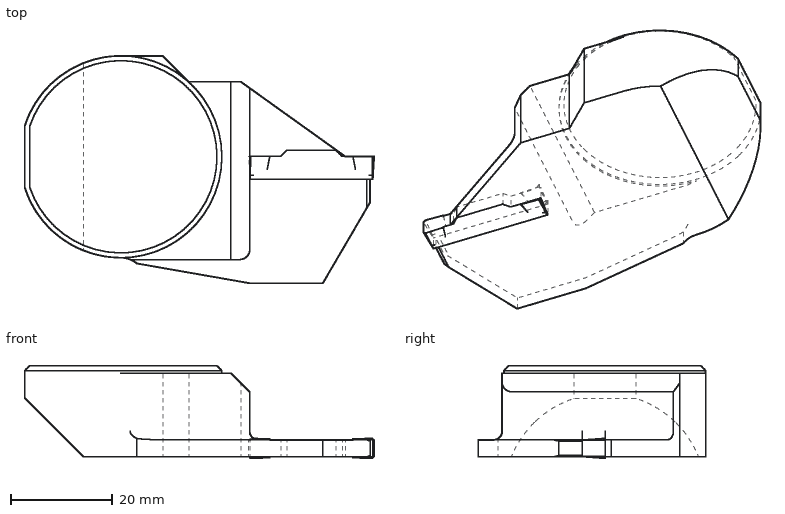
import cadquery as cq
import math

head_radius = 20.0
head_height = 18.05
head_chamfer = 1.0
head_flat_x = -19.0
underside_bevel = 11.6

block_height = 16.6
block_right = 25.5
block_front = -20.3
block_back = 14.85
block_chamfer = 3.7
block_corner_radius = 2.0

blade_thickness = 3.4
blade_fillet = 1.65
blade_front = -25.0
blade_front_left = 25.4
blade_front_right = 39.95
blade_end = 49.3
blade_end_front = -9.05
blade_end_chamfer_x = 0.6
blade_end_chamfer_z = 0.3
back_slope_start = 23.7
back_slope_end = 44.35
blend_radius = 5.0
blend_end_x = 3.2

insert_tip = head_flat_x + 69.1
insert_middle = 37.65
insert_top_y = 0.1
insert_bottom_y = -4.5
insert_half_length = insert_tip - insert_middle
insert_end_taper = 0.3
end_chamfer_depth = 0.15
hump_top_y = 1.3
hump_half_bottom = 6.1
hump_half_top = 4.85
cheek_rise = 0.31
cheek_inner_top_x = 45.9
cheek_inner_low = (46.4, -2.4)
cheek_outer_low = (49.1, -3.65)


def drop_of_blend(x):
    """Distance the concave blend falls below the head at a given X."""
    return blend_radius - math.sqrt(blend_radius**2 - x**2)


def make_head():
    """Chamfered disc, trimmed to its side profile: flat, flat's chamfer and underside bevel."""
    disc = cq.Workplane("XY").circle(head_radius).extrude(head_height).faces(">Z").chamfer(head_chamfer)
    side_profile = (
        cq.Workplane("XZ")
        .polyline([
            (head_flat_x + underside_bevel, 0),
            (head_radius, 0),
            (head_radius, head_height),
            (head_flat_x + head_chamfer, head_height),
            (head_flat_x, head_height - head_chamfer),
            (head_flat_x, underside_bevel),
        ])
        .close().extrude(head_radius, both=True)
    )
    return disc.intersect(side_profile)


def make_block_and_blade():
    """Block on an oversize slab, with the cove between them, trimmed to the plan outline."""
    slab = cq.Workplane("XY").box(
        blade_end, head_radius - blade_front, blade_thickness, centered=False
    ).translate((0, blade_front, 0))
    block = (
        cq.Workplane("XY")
        .box(block_right, head_radius - block_front, block_height, centered=False)
        .translate((0, block_front, 0))
        .edges(">Z and >X").chamfer(block_chamfer)
        .edges("|Z and >X and <Y").fillet(block_corner_radius)
    )
    margin = 0.35
    cove_zone = cq.selectors.BoxSelector(
        (margin, block_front - margin, blade_thickness - margin),
        (block_right + margin, head_radius - margin, blade_thickness + margin),
    )
    body = slab.union(block).edges(cove_zone).fillet(blade_fillet)

    blend_mid_x = blend_end_x / 2
    tangent_corner_x = head_radius * (math.sqrt(2) - 1)
    tangent_foot_x = head_radius * math.sqrt(2) - block_back
    outline = (
        cq.Workplane("XY")
        .moveTo(0, head_radius)
        .lineTo(tangent_corner_x, head_radius)
        .lineTo(tangent_foot_x, block_back)
        .lineTo(back_slope_start, block_back)
        .lineTo(back_slope_end, insert_top_y)
        .lineTo(blade_end, insert_top_y)
        .lineTo(blade_end, blade_end_front)
        .lineTo(blade_front_right, blade_front)
        .lineTo(blade_front_left, blade_front)
        .lineTo(blend_end_x, -head_radius - drop_of_blend(blend_end_x))
        .threePointArc((blend_mid_x, -head_radius - drop_of_blend(blend_mid_x)), (0, -head_radius))
        .close().extrude(block_height)
    )
    return body.intersect(outline)


def make_blade_end_chamfer(z_edge, inward):
    """Cutter for one long edge of the blade's end face."""
    return (
        cq.Workplane("XZ")
        .polyline([
            (blade_end - blade_end_chamfer_x, z_edge),
            (blade_end, z_edge),
            (blade_end, z_edge + inward * blade_end_chamfer_z),
        ])
        .close().extrude(-blade_front)
    )


def make_cove_clearance():
    """Gap through the cove so that the insert lies open up to the block wall."""
    return cq.Workplane("XY").box(
        blade_fillet, insert_top_y - insert_bottom_y, blade_fillet, centered=False
    ).translate((block_right, insert_bottom_y, blade_thickness))


def make_cheek():
    """Tilted pad on the upper side of the right tip, flush along its lower edge."""
    run_x = cheek_outer_low[0] - cheek_inner_low[0]
    run_y = cheek_outer_low[1] - cheek_inner_low[1]
    run = math.hypot(run_x, run_y)
    rise_x = -run_y / run
    rise_y = run_x / run
    reach = (
        (insert_tip - cheek_inner_low[0]) * rise_x
        + (insert_top_y - cheek_inner_low[1]) * rise_y
    )
    rise_plane = cq.Plane(
        origin=(*cheek_inner_low, blade_thickness),
        xDir=(rise_x, rise_y, 0),
        normal=(run_x, run_y, 0),
    )
    wedge = (
        cq.Workplane(rise_plane)
        .polyline([(0, 0), (reach, 0), (reach, cheek_rise)])
        .close().extrude(2 * run, both=True)
    )
    footprint = (
        cq.Workplane("XY", origin=(0, 0, blade_thickness))
        .polyline([
            (cheek_inner_top_x, insert_top_y),
            cheek_inner_low,
            cheek_outer_low,
            (insert_tip - insert_end_taper, cheek_outer_low[1]),
            (insert_tip, insert_top_y),
        ])
        .close().extrude(cheek_rise)
    )
    return wedge.intersect(footprint)


def make_end_chamfer():
    """45 degree cutter along the upper edge of the right end, following the end's taper."""
    end_height = insert_top_y - insert_bottom_y
    end_length = math.hypot(insert_end_taper, end_height)
    chamfer_size = end_chamfer_depth + cheek_rise
    across_end = cq.Plane(
        origin=(insert_tip, insert_top_y, blade_thickness - end_chamfer_depth),
        xDir=(-end_height, insert_end_taper, 0),
        normal=(insert_end_taper, end_height, 0),
    )
    return (
        cq.Workplane(across_end)
        .polyline([(0, 0), (-chamfer_size, 0), (-chamfer_size, chamfer_size), (chamfer_size, chamfer_size)])
        .close().extrude(end_length, both=True)
    )


def at_four_corners(upper_right):
    """An upper right feature of the insert, together with its three mirror images."""
    lower_right = upper_right.mirror("XY", (0, 0, blade_thickness / 2))
    right_pair = [upper_right, lower_right]
    left_pair = [feature.mirror("YZ", (insert_middle, 0, 0)) for feature in right_pair]
    return right_pair + left_pair


def make_insert():
    low_half_length = insert_half_length - insert_end_taper
    right_side = [
        (low_half_length, insert_bottom_y),
        (insert_half_length, insert_top_y),
        (hump_half_bottom, insert_top_y),
        (hump_half_top, hump_top_y),
    ]
    left_side = [(-x, y) for x, y in reversed(right_side)]
    insert = (
        cq.Workplane("XY")
        .polyline([(insert_middle + x, y) for x, y in right_side + left_side])
        .close().extrude(blade_thickness)
    )
    for cheek in at_four_corners(make_cheek()):
        insert = insert.union(cheek)
    for end_chamfer in at_four_corners(make_end_chamfer()):
        insert = insert.cut(end_chamfer)
    return insert


insert = make_insert()

holder = make_head().union(make_block_and_blade())
holder = holder.cut(make_blade_end_chamfer(0, 1))
holder = holder.cut(make_blade_end_chamfer(blade_thickness, -1))
holder = holder.cut(make_cove_clearance())
holder = holder.cut(insert)

result = cq.Compound.makeCompound([*holder.solids().vals(), *insert.solids().vals()])